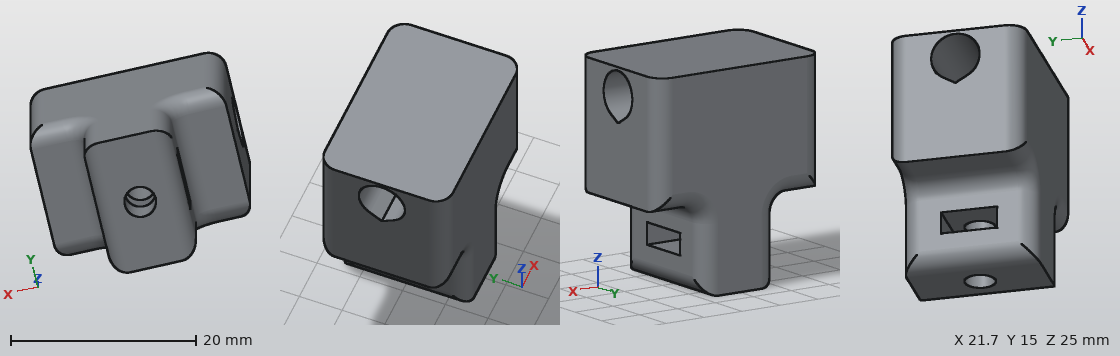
import cadquery as cq
import math

head_width = 21.7
depth = 15.0
height = 25.0
stem_width = 9.7
shoulder_z = 10.0
edge_radius = 2.0

hole_diameter = 5.4
hole_z = 21.9
flank_angle = math.radians(30)

slot_width = 6.25
slot_height = 2.5
slot_bottom_z = 3.9

screw_hole_diameter = 3.4


def make_body():
    """T-shaped block, blended at the shoulders, with its side outline rounded front and back."""
    half_head = head_width / 2
    half_stem = stem_width / 2
    outline = [
        (-half_stem, 0),
        (half_stem, 0),
        (half_stem, shoulder_z),
        (half_head, shoulder_z),
        (half_head, height),
        (-half_head, height),
        (-half_head, shoulder_z),
        (-half_stem, shoulder_z),
    ]
    block = cq.Workplane("XZ").polyline(outline).close().extrude(depth / 2, both=True)
    reach = half_stem + edge_radius / 2
    inner_corners = cq.selectors.BoxSelector(
        (-reach, -depth, shoulder_z - edge_radius / 2),
        (reach, depth, shoulder_z + edge_radius / 2),
    )
    block = block.edges("|Y").edges(inner_corners).fillet(edge_radius)
    block = block.faces("<Y or >Y").edges("not(<Z or >Z)").fillet(edge_radius)
    return block.intersect(make_rounded_foot_envelope())


def make_rounded_foot_envelope():
    """Full-depth envelope that rounds the two bottom ends of the stem."""
    foot_height = shoulder_z / 2
    foot = (
        cq.Workplane("XY")
        .box(stem_width, depth, foot_height, centered=(True, True, False))
        .edges("|Y and <Z")
        .fillet(edge_radius)
    )
    upper = (
        cq.Workplane("XY", origin=(0, 0, foot_height))
        .box(head_width, depth, height - foot_height, centered=(True, True, False))
    )
    return foot.union(upper)


def make_teardrop_hole():
    """Round bore whose lower side closes in two flats tangent to the circle."""
    radius = hole_diameter / 2
    tangent_y = radius * math.sin(flank_angle)
    tangent_z = hole_z - radius * math.cos(flank_angle)
    tip_z = hole_z - radius / math.cos(flank_angle)
    return (
        cq.Workplane("YZ")
        .moveTo(0, tip_z)
        .lineTo(tangent_y, tangent_z)
        .threePointArc((0, hole_z + radius), (-tangent_y, tangent_z))
        .close()
        .extrude(head_width / 2, both=True)
    )


def make_slot():
    return cq.Workplane("XY", origin=(0, 0, slot_bottom_z)).box(
        stem_width, slot_width, slot_height, centered=(True, True, False)
    )


def make_screw_hole():
    return cq.Workplane("XY").circle(screw_hole_diameter / 2).extrude(hole_z)


result = make_body().cut(make_teardrop_hole()).cut(make_slot()).cut(make_screw_hole())